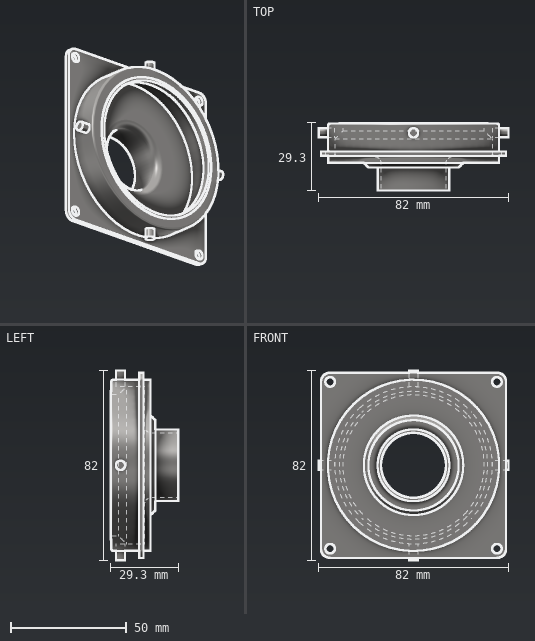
import cadquery as cq


PIN_COUNT = 4
PIN_DIAMETER = 4.0
PIN_TIP_RADIUS = 41.0
PIN_SEAT_RADIUS = 34.0
PIN_Y = 13.0

TUBE_DIAMETER = 31.0
TUBE_LENGTH = 10.0
HUB_BASE_DIAMETER = 43.0
HUB_HEIGHT = 2.0
HUB_TAPER_ANGLE = 45
DISC_DIAMETER = 74.0
DISC_DEPTH = 17.05
RIM_FILLET = 1.0
LIP_DIAMETER = 64.0
LIP_HEIGHT = 0.25

PLATE_SIDE = 80.0
PLATE_THICKNESS = 2.0
PLATE_Y = 3.0
PLATE_CORNER_RADIUS = 4.0
PLATE_HOLE_DIAMETER = 4.0
PLATE_HOLE_SPACING = 72.0

BORE_DIAMETER = 28.0
FLOOR_Y = 2.7
BORE_FLARE = 3.0
CAVITY_DIAMETER = 68.0
MOUTH_DIAMETER = 61.0
MOUTH_DEPTH = 3.45

hub_face_y = -HUB_HEIGHT
tube_end_y = hub_face_y - TUBE_LENGTH
lip_y = DISC_DEPTH + LIP_HEIGHT
mouth_y = lip_y - MOUTH_DEPTH
mouth_taper = (CAVITY_DIAMETER - MOUTH_DIAMETER) / 2


def cylinder_y(diameter, start_y, end_y):
    """Cylinder on the main axis."""
    return cq.Workplane("XZ", origin=(0, start_y, 0)).circle(diameter / 2).extrude(start_y - end_y)


def make_hub():
    """Tube on a conical base."""
    base = (
        cq.Workplane("XZ")
        .circle(HUB_BASE_DIAMETER / 2)
        .extrude(HUB_HEIGHT, taper=HUB_TAPER_ANGLE)
    )
    return base.union(cylinder_y(TUBE_DIAMETER, tube_end_y, hub_face_y))


def make_disc():
    """Disc with a rounded back rim and a low raised lip on its back face."""
    disc = cylinder_y(DISC_DIAMETER, 0, DISC_DEPTH).faces(">Y").edges().fillet(RIM_FILLET)
    return disc.union(cylinder_y(LIP_DIAMETER, DISC_DEPTH, lip_y))


def make_plate():
    """Square plate with rounded corners and a hole near each corner."""
    plate = (
        cq.Workplane("XZ", origin=(0, PLATE_Y, 0))
        .rect(PLATE_SIDE, PLATE_SIDE)
        .extrude(-PLATE_THICKNESS)
        .edges("|Y")
        .fillet(PLATE_CORNER_RADIUS)
    )
    holes = (
        cq.Workplane("XZ", origin=(0, PLATE_Y, 0))
        .rect(PLATE_HOLE_SPACING, PLATE_HOLE_SPACING, forConstruction=True)
        .vertices()
        .circle(PLATE_HOLE_DIAMETER / 2)
        .extrude(-PLATE_THICKNESS)
    )
    return plate.cut(holes)


def make_inside():
    """Bore that flares into a cavity, which narrows through a cone to the back mouth."""
    bore_radius = BORE_DIAMETER / 2
    cavity_radius = CAVITY_DIAMETER / 2
    mouth_radius = MOUTH_DIAMETER / 2
    flare_start = (bore_radius, FLOOR_Y - BORE_FLARE)
    flare_end = (bore_radius + BORE_FLARE, FLOOR_Y)
    profile = (
        cq.Workplane("XY")
        .moveTo(0, tube_end_y)
        .lineTo(bore_radius, tube_end_y)
        .lineTo(*flare_start)
        .radiusArc(flare_end, BORE_FLARE)
        .lineTo(cavity_radius, FLOOR_Y)
        .lineTo(cavity_radius, mouth_y - mouth_taper)
        .lineTo(mouth_radius, mouth_y)
        .lineTo(mouth_radius, lip_y)
        .lineTo(0, lip_y)
        .close()
    )
    return profile.revolve(360, (0, 0, 0), (0, 1, 0))


def make_pin(angle):
    """Radial pin at an angle about the main axis."""
    pin = (
        cq.Workplane("YZ", origin=(PIN_SEAT_RADIUS, PIN_Y, 0))
        .circle(PIN_DIAMETER / 2)
        .extrude(PIN_TIP_RADIUS - PIN_SEAT_RADIUS)
    )
    return pin.rotate((0, 0, 0), (0, 1, 0), angle)


def make_housing(pins):
    """Hub, disc and plate in one piece, hollowed out, with a blind seat for each pin."""
    housing = make_disc().union(make_plate()).union(make_hub()).cut(make_inside())
    for pin in pins:
        housing = housing.cut(pin)
    return housing


pins = [make_pin(index * 360 / PIN_COUNT) for index in range(PIN_COUNT)]
housing = make_housing(pins)
result = cq.Compound.makeCompound([housing.val(), *[pin.val() for pin in pins]])